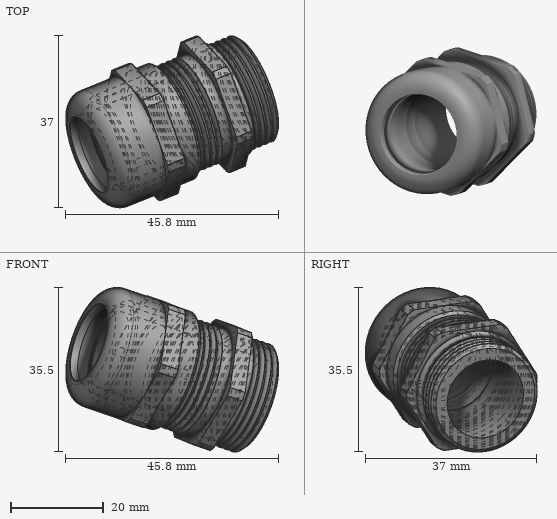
import cadquery as cq
import math


roll_angle = 38.0
pitch_angle = 17.6
swing_angle = 22.1

nut_diameter = 26.9
dome_length = 3.85
rim_diameter = 19.1
mouth_diameter = 17.4
mouth_chamfer = 0.15
mouth_depth = 1.95
nut_hex_start = 11.65
nut_hex_length = 4.15
nut_end = 20.53
skirt_diameter = 26.8
skirt_chamfer = 0.7

across_flats = 26.9
hex_corner_diameter = 30.05

thread_pitch = 1.5
thread_crest = 24.5
thread_root = 22.8
crest_flat = 0.05
tooth_count = 4

sleeve_start = 5.95
sleeve_diameter = 22.75
front_thread_end = 26.8
collar_diameter = 24.4
body_hex_start = 28.5
body_hex_length = 3.65
body_end = 40.25
taper_length = 1.42
body_bore = 17.4
outlet_start = 20.9
outlet_bore = 17.65

seal_start = 5.15
seal_end = 14.7
seal_diameter = 20.5
seal_bore = 17.15

ring_wire_diameter = 1.55

nut_radius = nut_diameter / 2
body_hex_end = body_hex_start + body_hex_length
last_front_crest = front_thread_end - thread_pitch / 2


def disc(start, end, diameter):
    return cq.Workplane("YZ", origin=(start, 0, 0)).circle(diameter / 2).extrude(end - start)


def revolved(points):
    """Solid of revolution about X from (x, radius) points, closed along the axis."""
    first_x = points[0][0]
    last_x = points[-1][0]
    outline = cq.Workplane("XY").polyline([(first_x, 0), *points, (last_x, 0)]).close()
    return outline.revolve(360, (0, 0, 0), (1, 0, 0))


def hexagon(start, length):
    base = cq.Workplane("YZ", origin=(start, 0, 0))
    prism = base.polygon(6, across_flats, circumscribed=True).extrude(length)
    return prism.intersect(disc(start, start + length, hex_corner_diameter))


def thread(end):
    """Ring-shaped teeth whose last flank runs down to the root at the given end."""
    start = end - tooth_count * thread_pitch
    points = [(start, thread_root / 2)]
    for tooth in range(tooth_count):
        crest = start + (tooth + 0.5) * thread_pitch
        points.append((crest - crest_flat / 2, thread_crest / 2))
        points.append((crest + crest_flat / 2, thread_crest / 2))
        points.append((start + (tooth + 1) * thread_pitch, thread_root / 2))
    return revolved(points)


def make_dome():
    """Front of the nut, rounded by an arc between the rim and the full diameter."""
    rim_radius = rim_diameter / 2
    half_way = math.sqrt(0.5)
    arc_middle = (dome_length * (1 - half_way), rim_radius + (nut_radius - rim_radius) * half_way)
    outline = (
        cq.Workplane("XY")
        .lineTo(0, rim_radius)
        .threePointArc(arc_middle, (dome_length, nut_radius))
        .lineTo(nut_hex_start, nut_radius)
        .lineTo(nut_hex_start, 0)
        .close()
    )
    return outline.revolve(360, (0, 0, 0), (1, 0, 0))


def make_nut():
    skirt_radius = skirt_diameter / 2
    skirt = revolved([
        (nut_hex_start, skirt_radius),
        (nut_end - skirt_chamfer, skirt_radius),
        (nut_end, skirt_radius - skirt_chamfer),
    ])
    mouth_radius = mouth_diameter / 2
    cavity = revolved([
        (0, mouth_radius + mouth_chamfer),
        (mouth_chamfer, mouth_radius),
        (mouth_depth, mouth_radius),
        (seal_start, seal_diameter / 2),
        (sleeve_start, seal_diameter / 2),
        (sleeve_start, sleeve_diameter / 2),
        (nut_end, sleeve_diameter / 2),
    ])
    return make_dome().union(hexagon(nut_hex_start, nut_hex_length)).union(skirt).cut(cavity)


def make_body():
    front_thread = thread(front_thread_end).cut(disc(0, nut_end, nut_diameter))
    passage = revolved([
        (sleeve_start, seal_diameter / 2),
        (seal_end, seal_diameter / 2),
        (seal_end, seal_bore / 2),
        (seal_end + taper_length, body_bore / 2),
        (outlet_start, body_bore / 2),
        (outlet_start, outlet_bore / 2),
        (body_end, outlet_bore / 2),
    ])
    return (
        disc(sleeve_start, last_front_crest, sleeve_diameter)
        .union(front_thread)
        .union(disc(last_front_crest, body_hex_start, collar_diameter))
        .union(hexagon(body_hex_start, body_hex_length))
        .union(disc(body_hex_end, body_end, thread_root))
        .union(thread(body_end))
        .cut(passage)
    )


def make_seal():
    return disc(seal_start, seal_end, seal_diameter).cut(disc(seal_start, seal_end, seal_bore))


def make_gasket():
    """Round-wire ring lying on the root diameter, against the body hexagon."""
    wire_radius = ring_wire_diameter / 2
    wire_centre = (body_hex_end + wire_radius, thread_root / 2 + wire_radius)
    wire = cq.Workplane("XY").moveTo(*wire_centre).circle(wire_radius)
    return wire.revolve(360, (0, 0, 0), (1, 0, 0))


def placed(body):
    origin = (0, 0, 0)
    rolled = body.rotate(origin, (1, 0, 0), roll_angle)
    pitched = rolled.rotate(origin, (0, 1, 0), pitch_angle)
    return pitched.rotate(origin, (0, 0, 1), swing_angle)


nut = placed(make_nut())
body = placed(make_body())
seal = placed(make_seal())
gasket = placed(make_gasket())

result = cq.Compound.makeCompound([nut.val(), body.val(), seal.val(), gasket.val()])